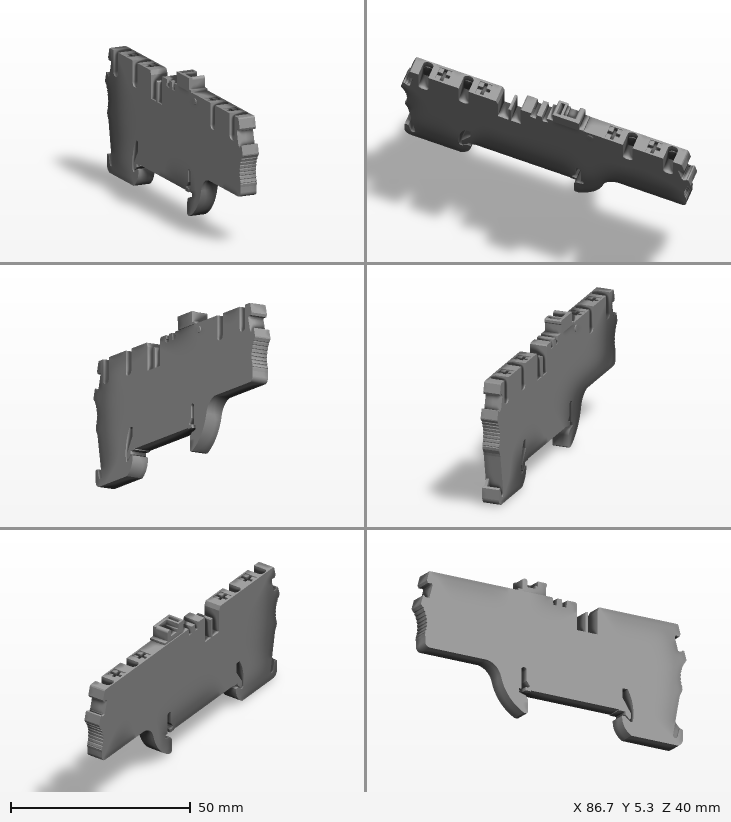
import cadquery as cq
import math

length = 86.7
thickness = 5.0
body_top = 36.1
rail_edge = 7.0
through = 3 * thickness


def mirrored(points):
    """Points reflected about the middle of the block, in reverse order."""
    return [(length - x, z) for x, z in reversed(points)]


def prism(points, y_front=-thickness, depth=through):
    """Extrude an XZ polygon from y_front towards +Y."""
    return cq.Workplane("XZ", origin=(0, y_front, 0)).polyline(points).close().extrude(-depth)


def disc(x, z, radius, y_front=-thickness, depth=through):
    """Cylinder along Y."""
    return cq.Workplane("XZ", origin=(x, y_front, z)).circle(radius).extrude(-depth)


def box(x_range, y_range, z_range):
    """Axis-aligned box between the given limits."""
    size = [high - low for low, high in (x_range, y_range, z_range)]
    corner = (x_range[0], y_range[0], z_range[0])
    return cq.Workplane("XY").box(*size, centered=False).translate(corner)


foot_left = 1.1
foot_slot_end = (4.3, 2.95)
head_end = [(1.4, 16.4), (0.0, 26.0), (0.7, 28.45), (1.9, 33.2), (2.6, 35.7), (2.9, body_top)]
arm_bottom = 13.4
slot_top = 13.5
hook_left = 51.8
hook_slot = (52.2, 53.9)
hook_slot_arch = 0.5


def make_body():
    outline = cq.Workplane("XZ").moveTo(*foot_slot_end)
    outline = outline.lineTo(2.25, 14.4).lineTo(2.0, 15.3)
    for point in head_end + mirrored(head_end):
        outline = outline.lineTo(*point)
    outline = outline.lineTo(85.35, 14.75).threePointArc((84.9, 13.8), (84.0, arm_bottom))
    outline = (
        outline.lineTo(65.05, arm_bottom)
        .threePointArc((62.3, 12.1), (60.6, 9.45))
        .threePointArc((57.6, 3.5), (53.1, 0.0))
        .lineTo(52.1, 0.0)
        .lineTo(hook_left, 0.35)
        .lineTo(hook_left, 3.8)
        .threePointArc((52.3, 5.0), (53.4, 5.5))
        .lineTo(54.7, 5.8)
        .lineTo(54.7, rail_edge)
    )
    outline = (
        outline.lineTo(hook_slot[1], rail_edge)
        .lineTo(hook_slot[1], slot_top - hook_slot_arch)
        .threePointArc((sum(hook_slot) / 2, slot_top), (hook_slot[0], slot_top - hook_slot_arch))
        .lineTo(hook_slot[0], 9.6)
        .lineTo(51.2, 8.2)
        .lineTo(51.4, 7.8)
        .lineTo(52.6, 7.7)
        .lineTo(52.6, 6.8)
        .lineTo(50.8, 6.8)
        .lineTo(50.8, rail_edge)
    )
    outline = (
        outline.lineTo(22.0, rail_edge)
        .lineTo(22.0, 6.8)
        .lineTo(19.95, 6.8)
        .lineTo(19.95, 5.9)
        .lineTo(18.5, 4.7)
        .lineTo(18.1, 5.1)
        .lineTo(18.1, 6.6)
        .lineTo(20.8, 10.7)
        .lineTo(20.8, slot_top)
        .lineTo(19.2, slot_top)
        .threePointArc((17.7, 10.0), (17.4, 4.5))
        .lineTo(17.7, 4.1)
        .lineTo(18.4, 4.1)
        .lineTo(19.95, 5.4)
    )
    outline = (
        outline.lineTo(21.0, 5.4)
        .threePointArc((19.95, 1.7), (17.95, 0.0))
        .lineTo(2.9, 0.0)
        .threePointArc((1.65, 0.7), (foot_left, 1.9))
        .lineTo(foot_left, 4.95)
        .lineTo(1.8, 5.3)
        .lineTo(2.25, 5.0)
        .lineTo(2.95, 2.6)
        .threePointArc((3.7, 2.1), foot_slot_end)
        .close()
    )
    return outline.extrude(-thickness)


grip_radius = 8.2
grip_height = 20.6
grip_depth = 1.8
groove_radius = 0.22
groove_pitch = 1.0
groove_heights = [grip_height + groove_pitch * step for step in range(-3, 5)]
marker_notch = [
    (-0.9, 33.1), (1.9, 33.1), (2.25, 32.4), (3.1, 32.4), (3.2, 32.8), (3.6, 32.35), (3.7, 31.9),
    (2.7, 28.1), (1.4, 28.1), (1.1, 28.5), (-0.9, 28.5),
]
ledge_groove = [(1.9, 27.8), (2.4, 27.8), (2.4, 28.2), (1.9, 28.2)]
ledge_groove_depth = 4.6


def end_cutters():
    """Finger grip with its grooves, and the marker notch with its ledge groove, on both ends."""
    cutters = prism(marker_notch).union(prism(mirrored(marker_notch)))
    for outline in (ledge_groove, mirrored(ledge_groove)):
        cutters = cutters.union(prism(outline, 0, ledge_groove_depth))
    for side in (-1, 1):
        middle = length / 2
        grip_x = middle + side * (middle - grip_depth + grip_radius)
        cutters = cutters.union(disc(grip_x, grip_height, grip_radius))
        for z in groove_heights:
            reach = math.sqrt(grip_radius**2 - (z - grip_height) ** 2)
            cutters = cutters.union(disc(grip_x - side * reach, z, groove_radius))
    return cutters


web_depth = 0.8
web_inset = 0.35


def make_web():
    outline = [(3.5, rail_edge), (1.8, 5.3), (2.25, 4.3), (2.95, 1.9), (4.5, 1.9), (4.5, 2.95)]
    return prism(outline, thickness - web_inset - web_depth, web_depth)


shaft_floor = 27.9
shaft_left = 29.1
shaft_right = 35.8
blade = (32.2, 33.0)
blade_top = 33.9
blade_chamfer = 0.3


def shaft_cutter():
    outline = [
        (shaft_left, shaft_floor), (shaft_right, shaft_floor), (shaft_right, 35.7), (36.2, body_top),
        (36.2, body_top + 0.9), (28.45, body_top + 0.9), (28.45, body_top), (shaft_left, 34.8),
    ]
    blade_body = box(blade, (0, thickness), (shaft_floor, blade_top))
    blade_body = blade_body.edges(">X and >Z").chamfer(blade_chamfer)
    return prism(outline).cut(blade_body)


label_floor = 33.9
label_grooves = [(39.2, 40.4), (42.4, 43.5)]
label_draft = 0.3
undercut_size = 0.5
undercut_depth = 2.6


def label_cutters():
    cutters = cq.Workplane("XY")
    for left, right in label_grooves:
        cutters = cutters.add(prism([
            (left, label_floor), (right, label_floor),
            (right + label_draft, body_top), (left - label_draft, body_top),
        ]))
    undercut_z = (label_floor + 0.2, label_floor + 1.0)
    first_left = label_grooves[0][0]
    last_right = label_grooves[-1][1]
    for x_range in ((first_left - undercut_size, first_left), (last_right, last_right + undercut_size)):
        cutters = cutters.add(box(x_range, (0, undercut_depth), undercut_z))
    return cutters.combine()


terminal_pitch = 12.1
first_slot_x = 6.8
slot_width = 2.95
slot_floor = 28.7
slot_round = 1.1
slot_depth = 4.4
back_flat = 0.39
back_curve = 0.4
back_recess_depth = 0.3
back_recess_floor = 33.5
funnel_offset = 5.1


def mirrored_positions(first):
    """X places of one feature at the two left and two right terminals."""
    left = [first, first + terminal_pitch]
    return left + [length - x for x in left]


def round_backed_channel(x, depth, z_low):
    """Channel open to the front and top; its back wall bulges out to a flat at `depth`."""
    half_width = slot_width / 2
    straight = slot_depth - back_curve
    bulge = ((half_width + back_flat) / 2, straight + 0.7 * (depth - straight))
    return (
        cq.Workplane("XY", origin=(x, 0, z_low))
        .moveTo(-half_width, 0)
        .lineTo(-half_width, straight)
        .threePointArc((-bulge[0], bulge[1]), (-back_flat, depth))
        .lineTo(back_flat, depth)
        .threePointArc(bulge, (half_width, straight))
        .lineTo(half_width, 0)
        .close()
        .extrude(body_top - z_low)
    )


def test_slot(x):
    half_width = slot_width / 2
    slot = box((x - half_width, x + half_width), (0, slot_depth), (slot_floor, body_top))
    slot = slot.edges("|Y and <Z").fillet(slot_round)
    lower_back = round_backed_channel(x, slot_depth, slot_floor)
    upper_back = round_backed_channel(x, slot_depth + back_recess_depth, back_recess_floor)
    return slot.intersect(lower_back).union(upper_back)


funnel_x = 3.7
funnel_y = 3.9
funnel_middle = 2.4
pad_drop = 0.3
cross_width = 1.0
cross_depth = 1.7


def funnel(x):
    recess = cq.Workplane("XY").box(funnel_x, funnel_y, pad_drop)
    recess = recess.translate((x, funnel_middle, body_top - pad_drop / 2))
    for size_x, size_y in ((funnel_x, cross_width), (cross_width, funnel_y)):
        arm = cq.Workplane("XY").box(size_x, size_y, cross_depth)
        recess = recess.union(arm.translate((x, funnel_middle, body_top - cross_depth / 2)))
    return recess


slider_front = -0.3
slider_top = 40.0
slider_left = 45.45
slider_right = 53.4
slider_step = (54.7, 36.8)
lip_depth = 0.3
slider_chamfer = 0.3
slider_back = slider_front + thickness
well = (48.3, 51.8)
well_floor = 37.65
well_ledge = 38.4
ledge_width = 0.8
ledge_rise = 0.2
key_pocket_wall = 0.8
key_pocket_length = 3.6
tab_round = 0.7
well_wall = 1.0


def make_slider():
    outline = [
        (slider_left + lip_depth, body_top), (slider_left + lip_depth, 38.7), (slider_left, 39.0),
        (slider_left, slider_top - slider_chamfer), (slider_left + slider_chamfer, slider_top),
        (slider_right, slider_top), (slider_right, slider_step[1]),
        slider_step, (slider_step[0], body_top),
    ]
    slider = prism(outline, slider_front, thickness)
    well_y = slider_front + well_wall
    well_outline = [
        (well[0], slider_top), (well[0], well_ledge),
        (well[0] + ledge_width, well_ledge + ledge_rise), (well[0] + ledge_width, well_floor),
        (well[1], well_floor), (well[1], slider_top),
    ]
    slider = slider.cut(prism(well_outline, well_y))
    tab = box((well[1], slider_right), (well_y, slider_back), (well_floor, slider_top))
    rounded_tab = tab.edges("|Y and >Z").fillet(tab_round)
    slider = slider.cut(tab.cut(rounded_tab))
    key_pocket = [(46.3, slider_top), (47.2, well_floor), (47.6, well_floor + 0.2), (47.6, slider_top)]
    return slider.cut(prism(key_pocket, slider_front + key_pocket_wall, key_pocket_length))


stud_x = 56.7
stud_z = 34.0
stud_radius = 0.95
stud_height = 0.2
stud_chamfer = 0.165


def make_stud():
    stud = disc(stud_x, stud_z, stud_radius, -stud_height, stud_height)
    return stud.faces("<Y").chamfer(stud_chamfer)


part = make_body().cut(end_cutters()).union(make_web())
part = part.cut(shaft_cutter()).cut(label_cutters())
for slot_x in mirrored_positions(first_slot_x):
    part = part.cut(test_slot(slot_x))
for funnel_center in mirrored_positions(first_slot_x + funnel_offset):
    part = part.cut(funnel(funnel_center))
result = part.union(make_slider()).union(make_stud())